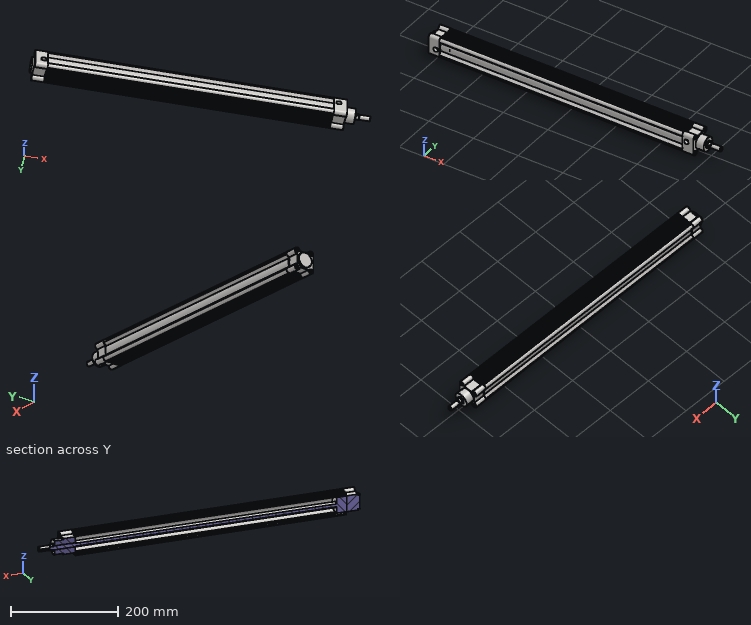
import cadquery as cq

stroke = 500.0
length_without_stroke = 94.0
body_length = length_without_stroke + stroke
rear_cap_length = 24.0
front_cap_length = 25.0
tube_length = body_length - rear_cap_length - front_cap_length
tube_end = rear_cap_length + tube_length

cap_width = 45.0
cap_half_width = cap_width / 2
screw_spacing = 32.5
screw_offset = screw_spacing / 2
lobe_radius = cap_half_width - screw_offset
notch_floor = 16.5
screw_hole_diameter = 5.0
screw_hole_chamfer = 0.5
screw_hole_depth = 16.0
port_diameter = 9.7
port_depth = 10.0
port_inset = 16.0
port_offset = 5.0
collar_diameter = 30.0
rear_collar_length = 4.0
front_collar_length = 18.0

tube_width = 44.5
tube_half_width = tube_width / 2
tube_corner_radius = tube_half_width - screw_offset
bore_diameter = 32.0
barrel_radius = 18.5
side_groove_mouth = 14.6
slot_offset = 6.8
slot_mouth_width = 3.8
slot_inner_width = 6.2
slot_lip = 2.1
slot_depth = 6.0
centre_groove_width = 1.8
centre_groove_depth = 4.3
shallow_groove_depth = 0.5
centre_recess_width = 5.8
shallow_groove_width = 1.9
shallow_groove_offsets = (11.7, 15.5)

rod_diameter = 11.5
rod_reach = 26.0
rod_flats_width = 10.0
rod_flats_length = 3.0
rod_end_taper = 1.0
thread_diameter = 10.0
thread_length = 22.0
thread_chamfer = 1.0
shoulder_diameter = 15.0
shoulder_length = 2.0
piston_length = 20.0


def disc(start, length, diameter):
    """Cylinder on the X axis that starts at the given X."""
    return cq.Workplane("YZ").workplane(offset=start).circle(diameter / 2).extrude(length)


def rounded_square(start, length):
    """Square bar along X whose four long corners are rounded."""
    return (
        cq.Workplane("YZ")
        .workplane(offset=start)
        .rect(tube_width, tube_width)
        .extrude(length)
        .edges("|X")
        .fillet(tube_corner_radius)
    )


def cap_block(start, length):
    """Cap with round corner lobes on +Y, +Z and -Z and one flat side on -Y."""
    lobes = (
        cq.Workplane("YZ")
        .workplane(offset=start)
        .rect(screw_spacing, screw_spacing, forConstruction=True)
        .vertices()
        .circle(lobe_radius)
        .extrude(length)
    )
    core_width = 2 * notch_floor
    core = cq.Workplane("YZ").workplane(offset=start).rect(core_width, core_width).extrude(length)
    flat_side = (
        cq.Workplane("YZ")
        .workplane(offset=start)
        .center((-cap_half_width - notch_floor) / 2, 0)
        .rect(cap_half_width - notch_floor, screw_spacing)
        .extrude(length)
    )
    return core.union(lobes).union(flat_side)


def cut_screw_holes(cap, face):
    """Cut four blind, countersunk screw holes into the end face of a cap at the given X."""
    inward = 1 if face == 0 else -1
    for y in (-screw_offset, screw_offset):
        for z in (-screw_offset, screw_offset):
            centre = cq.Vector(face, y, z)
            direction = cq.Vector(inward, 0, 0)
            radius = screw_hole_diameter / 2
            hole = cq.Solid.makeCylinder(radius, screw_hole_depth, centre, direction)
            countersink = cq.Solid.makeCone(
                radius + screw_hole_chamfer, radius, screw_hole_chamfer, centre, direction
            )
            cap = cap.cut(hole).cut(countersink)
    return cap


def port(x, z):
    """Blind air port that opens on the -Y side."""
    return (
        cq.Workplane("XZ", origin=(0, -cap_half_width, 0))
        .center(x, z)
        .circle(port_diameter / 2)
        .extrude(-port_depth)
    )


def make_rear_cap():
    collar = disc(-rear_collar_length, rear_collar_length, collar_diameter)
    cap = cap_block(0, rear_cap_length).union(collar)
    cap = cap.cut(port(port_inset, -port_offset))
    return cut_screw_holes(cap, 0)


def make_front_cap():
    collar = disc(body_length, front_collar_length, collar_diameter)
    rod_hole = disc(tube_end, front_cap_length + front_collar_length, rod_diameter)
    cap = cap_block(tube_end, front_cap_length).union(collar).cut(rod_hole)
    cap = cap.cut(port(body_length - port_inset, port_offset))
    return cut_screw_holes(cap, body_length)


def top_slot(y, width, depth, cover=0):
    """Straight cut along the +Z side, from the given cover below the surface down to the depth."""
    height = depth - cover
    return (
        cq.Workplane("YZ")
        .workplane(offset=rear_cap_length)
        .center(y, tube_half_width - cover - height / 2)
        .rect(width, height)
        .extrude(tube_length)
    )


def side_groove():
    """Groove in the -Y side: sloped flanks at 45 degrees and the round barrel as its floor."""
    mouth = side_groove_mouth
    groove = (
        cq.Workplane("YZ")
        .workplane(offset=rear_cap_length)
        .moveTo(-tube_half_width, mouth)
        .lineTo(-tube_half_width, -mouth)
        .lineTo(mouth - tube_half_width, 0)
        .close()
        .extrude(tube_length)
    )
    return groove.cut(disc(rear_cap_length, tube_length, 2 * barrel_radius))


def t_slot(y):
    """T-slot in the +Z side."""
    mouth = top_slot(y, slot_mouth_width, slot_lip)
    return mouth.union(top_slot(y, slot_inner_width, slot_depth, cover=slot_lip))


def top_cuts():
    """All the cuts in the +Z side: centre groove with its recess, T-slots and shallow grooves."""
    cuts = [
        top_slot(0, centre_groove_width, centre_groove_depth),
        top_slot(0, centre_recess_width, shallow_groove_depth),
    ]
    for side in (-1, 1):
        cuts.append(t_slot(side * slot_offset))
        for offset in shallow_groove_offsets:
            cuts.append(top_slot(side * offset, shallow_groove_width, shallow_groove_depth))
    return cuts


def make_tube():
    tube = rounded_square(rear_cap_length, tube_length)
    tube = tube.cut(disc(rear_cap_length, tube_length, bore_diameter))
    groove = side_groove()
    tube = tube.cut(groove).cut(groove.mirror("XZ"))
    for top_cut in top_cuts():
        tube = tube.cut(top_cut).cut(top_cut.mirror("XY"))
    return tube


def wrench_flat(rod_end, side):
    """Cutter for one wrench flat next to the rod end, on the -Y or +Y side."""
    depth = (rod_diameter - rod_flats_width) / 2
    cutter = cq.Workplane("XY").box(rod_flats_length, depth, rod_diameter)
    return cutter.translate((rod_end - rod_flats_length / 2, side * (rod_diameter - depth) / 2, 0))


def make_piston_rod():
    rod_end = body_length + rod_reach
    piston = disc(rear_cap_length, piston_length, bore_diameter)
    rod = disc(rear_cap_length, rod_end - rear_cap_length, rod_diameter)
    for side in (-1, 1):
        rod = rod.cut(wrench_flat(rod_end, side))
    shoulder = disc(body_length + front_collar_length, shoulder_length, shoulder_diameter)
    taper = cq.Solid.makeCone(
        rod_diameter / 2, thread_diameter / 2, rod_end_taper, cq.Vector(rod_end, 0, 0), cq.Vector(1, 0, 0)
    )
    thread = disc(rod_end, thread_length, thread_diameter).faces(">X").chamfer(thread_chamfer)
    return rod.union(piston).union(shoulder).union(thread).union(cq.Workplane(taper))


rear_cap = make_rear_cap()
front_cap = make_front_cap()
tube = make_tube()
piston_rod = make_piston_rod()

result = cq.Compound.makeCompound([rear_cap.val(), front_cap.val(), tube.val(), piston_rod.val()])